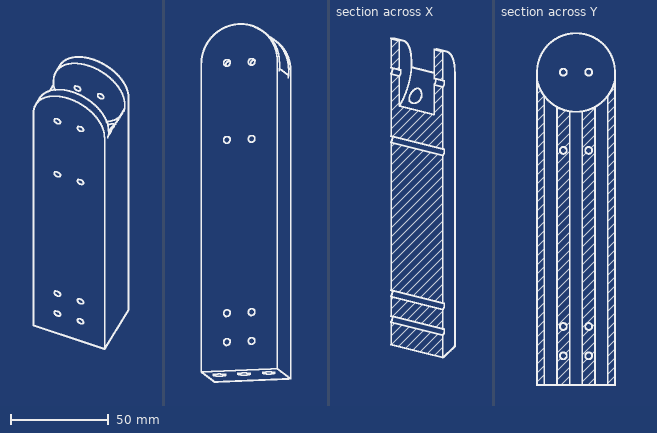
import cadquery as cq

height = 180.0
width = height * 2 / 9
depth = height / 6
end_radius = width / 2
pivot_z = height - end_radius

cheek_thickness = depth / 6
slot_width = depth - 2 * cheek_thickness
slot_clearance = 0.25
slot_radius = end_radius + slot_clearance

cross_hole_diameter = 3.5
cross_hole_spacing = 13.0
cross_hole_heights = [height / 12, height / 6, height * 2 / 3, pivot_z]

long_hole_diameter = 6.3
long_hole_spacing = 13.0
long_hole_y = 4.1


def make_body():
    """Bar with a half-round top, centred on X and Y and standing on Z = 0."""
    return (
        cq.Workplane("XZ")
        .moveTo(-width / 2, 0)
        .lineTo(width / 2, 0)
        .lineTo(width / 2, pivot_z)
        .threePointArc((0, height), (-width / 2, pivot_z))
        .close()
        .extrude(depth / 2, both=True)
    )


def make_slot():
    """Cylinder about the pivot axis that clears the gap between the cheeks."""
    return (
        cq.Workplane("XZ")
        .center(0, pivot_z)
        .circle(slot_radius)
        .extrude(slot_width / 2, both=True)
    )


def make_cross_holes():
    """Pairs of holes that pass through the full depth."""
    centres = [
        (side * cross_hole_spacing / 2, z)
        for z in cross_hole_heights
        for side in (-1, 1)
    ]
    return (
        cq.Workplane("XZ")
        .pushPoints(centres)
        .circle(cross_hole_diameter / 2)
        .extrude(depth, both=True)
    )


def make_long_holes():
    """Three holes that run from the slot floor out through the bottom."""
    return (
        cq.Workplane("XY")
        .center(0, long_hole_y)
        .rarray(long_hole_spacing, 1.8, 3, 1)
        .circle(long_hole_diameter / 2)
        .extrude(pivot_z)
    )


result = make_body().cut(make_slot()).cut(make_cross_holes()).cut(make_long_holes())